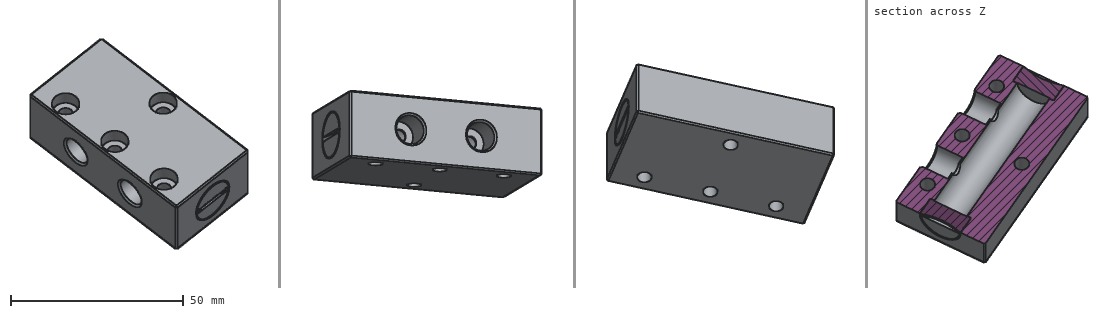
import cadquery as cq

LENGTH = 60.0
WIDTH = 30.0
HEIGHT = 20.0
EDGE_CHAMFER = 0.5

MOUNT_PITCH = LENGTH / 3
MOUNT_ROW_Y = WIDTH / 3
MOUNT_DIAMETER = 4.2
MOUNT_BORE_DIAMETER = 8.0
MOUNT_BORE_DEPTH = 4.5
MOUNT_CENTRES = [
    (-MOUNT_PITCH, -MOUNT_ROW_Y),
    (0, -MOUNT_ROW_Y),
    (MOUNT_PITCH, -MOUNT_ROW_Y),
    (0, MOUNT_ROW_Y),
]

PORT_PITCH = 22.0
PORT_DIAMETER = 8.5
PORT_MOUTH_DIAMETER = 9.7
PORT_DEPTH = 9.0
PORT_PASSAGE_DIAMETER = 4.0

PLUG_DIAMETER = 13.45
PLUG_CHAMFER = 0.25
PLUG_MOUTH_DIAMETER = 13.85
PLUG_LENGTH = 6.0
SLOT_WIDTH = 1.3
SLOT_DEPTH = 1.1
SLOT_LENGTH = PLUG_DIAMETER - 2 * PLUG_CHAMFER

GALLERY_DIAMETER = 10.8


def make_mouth_cone(mouth_diameter, bore_diameter):
    """45 degree countersink with its wide end at the origin, narrowing toward +Z."""
    depth = (mouth_diameter - bore_diameter) / 2
    return cq.Solid.makeCone(mouth_diameter / 2, bore_diameter / 2, depth)


def cut_mounting_holes(block):
    return (
        block.faces(">Z").workplane(origin=(0, 0, 0))
        .pushPoints(MOUNT_CENTRES)
        .cboreHole(MOUNT_DIAMETER, MOUNT_BORE_DIAMETER, MOUNT_BORE_DEPTH)
    )


def make_port():
    """Port cutter with its mouth at the origin, running toward +Z as far as the gallery."""
    bore = cq.Workplane("XY").circle(PORT_DIAMETER / 2).extrude(PORT_DEPTH)
    passage = cq.Workplane("XY").circle(PORT_PASSAGE_DIAMETER / 2).extrude(WIDTH / 2)
    mouth = make_mouth_cone(PORT_MOUTH_DIAMETER, PORT_DIAMETER)
    return bore.union(passage).union(cq.Workplane(mouth))


def cut_ports(block):
    port = make_port().rotate((0, 0, 0), (1, 0, 0), -90)
    for side in (-1, 1):
        block = block.cut(port.translate((side * PORT_PITCH / 2, -WIDTH / 2, 0)))
    return block


def cut_gallery(block):
    gallery = cq.Workplane("YZ").circle(GALLERY_DIAMETER / 2).extrude(LENGTH / 2, both=True)
    return block.cut(gallery)


def cut_plug_seats(block):
    seat = cq.Workplane("YZ").circle(PLUG_DIAMETER / 2).extrude(PLUG_LENGTH)
    mouth = make_mouth_cone(PLUG_MOUTH_DIAMETER, PLUG_DIAMETER).rotate((0, 0, 0), (0, 1, 0), 90)
    seat = seat.union(cq.Workplane(mouth)).translate((-LENGTH / 2, 0, 0))
    for turn in (0, 180):
        block = block.cut(seat.rotate((0, 0, 0), (0, 0, 1), turn))
    return block


def make_block():
    block = cq.Workplane("XY").box(LENGTH, WIDTH, HEIGHT).edges().chamfer(EDGE_CHAMFER)
    block = cut_mounting_holes(block)
    block = cut_gallery(block)
    block = cut_ports(block)
    return cut_plug_seats(block)


def make_slot():
    """Disc whose arc enters the plug face and reaches its full depth at the plug centre."""
    half_chord = SLOT_LENGTH / 2
    radius = (half_chord**2 + SLOT_DEPTH**2) / (2 * SLOT_DEPTH)
    disc = cq.Workplane("XY").circle(radius).extrude(SLOT_WIDTH / 2, both=True)
    return disc.translate((SLOT_DEPTH - radius, 0, 0))


def make_plug():
    """Plug with its slotted face at X = 0, its body running toward +X."""
    plug = cq.Workplane("YZ").circle(PLUG_DIAMETER / 2).extrude(PLUG_LENGTH)
    plug = plug.faces("<X").chamfer(PLUG_CHAMFER)
    return plug.cut(make_slot())


block = make_block()

plugs = []
for turn in (0, 180):
    plug = make_plug().translate((-LENGTH / 2, 0, 0)).rotate((0, 0, 0), (0, 0, 1), turn)
    plugs.append(plug.val())

result = cq.Compound.makeCompound([block.val(), *plugs])